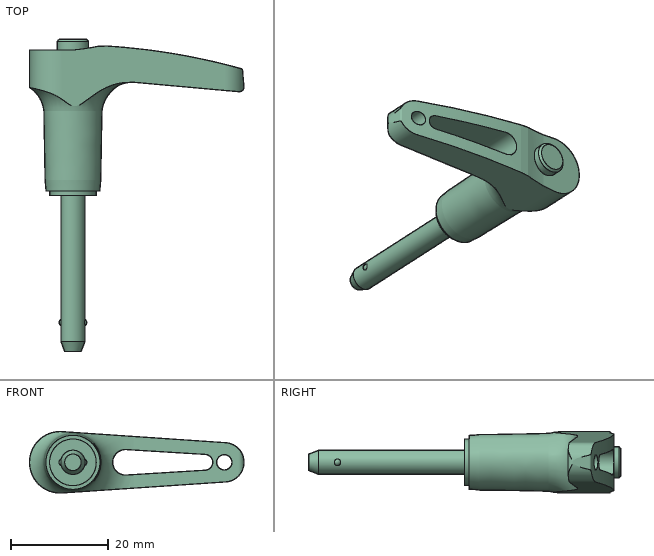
import cadquery as cq
import math


shank_radius = 2.5
shank_tip_y = -32.06
tip_cone_start_y = -30.0
tip_radius = 1.7
ball_radius = 0.75
ball_reach = 2.86
ball_y = -26.1

collar_radius = 4.8
collar_length = 0.95
sleeve_nose_radius = 5.56
sleeve_taper_end_y = 3.2
sleeve_taper_end_radius = 5.75
sleeve_top_y = 17.4
sleeve_top_radius = 6.0

button_radius = 3.25
button_top_y = 32.2
button_chamfer = 0.45

head_radius = 6.345
head_center_x = -2.6
grip_end_radius = 4.07
handle_end_x = 35.21
grip_end_center_x = handle_end_x - grip_end_radius
head_end_x = head_center_x - head_radius

head_top_y = 30.0
rise_start_x = 0.4
rise_mid = (3.2, 30.36)
rise_end = (5.2, 30.75)
back_start = (7.0, 30.8)
back_mid = (19.7, 29.4)
back_end = (34.9, 26.05)
grip_bottom_end = (35.3, 21.25)
underside_y = 23.3
grip_top_corner_radius = 0.4
grip_bottom_corner_radius = 1.0

flare_rim_radius = 12.5
flare_width = flare_rim_radius - sleeve_top_radius
flare_height = underside_y - sleeve_top_y
flare_arc_radius = (flare_width**2 + flare_height**2) / (2 * flare_height)
flare_arc_angle = math.acos(1 - flare_height / flare_arc_radius)

slot_wide_radius = 2.6
slot_wide_center_x = 10.8
slot_narrow_radius = 1.6
slot_narrow_center_x = 27.15
lanyard_hole_radius = 1.55


def tapered_prism(center_a, radius_a, center_b, radius_b):
    """Prism along Y whose XZ outline is two circles joined by their outer tangents."""
    tilt = math.asin((radius_a - radius_b) / (center_b - center_a))
    along = math.sin(tilt)
    across = math.cos(tilt)
    ax = center_a + radius_a * along
    az = radius_a * across
    bx = center_b + radius_b * along
    bz = radius_b * across
    return (
        cq.Workplane("XZ", origin=(0, button_top_y, 0))
        .moveTo(ax, az)
        .lineTo(bx, bz)
        .threePointArc((center_b + radius_b, 0), (bx, -bz))
        .lineTo(ax, -az)
        .threePointArc((center_a - radius_a, 0), (ax, az))
        .close()
        .extrude(button_top_y)
    )


def revolve_about_pin(profile):
    """Close an XY half-profile and turn it fully around the Y axis."""
    return profile.close().revolve(axisStart=(0, 0, 0), axisEnd=(0, 1, 0))


def make_pin():
    """Shank with its tapered tip, collar and tapered sleeve, up to the foot of the flare."""
    profile = (
        cq.Workplane("XY")
        .moveTo(0, shank_tip_y)
        .lineTo(tip_radius, shank_tip_y)
        .lineTo(shank_radius, tip_cone_start_y)
        .lineTo(shank_radius, 0)
        .lineTo(collar_radius, 0)
        .lineTo(collar_radius, collar_length)
        .lineTo(sleeve_nose_radius, collar_length)
        .lineTo(sleeve_taper_end_radius, sleeve_taper_end_y)
        .lineTo(sleeve_top_radius, sleeve_top_y)
        .lineTo(0, sleeve_top_y)
    )
    return revolve_about_pin(profile)


def make_flare():
    """Trumpet-shaped blend from the top of the sleeve, ending tangent to the underside of the handle."""
    arc_mid = (
        flare_rim_radius - flare_arc_radius * math.sin(flare_arc_angle / 2),
        underside_y - flare_arc_radius * (1 - math.cos(flare_arc_angle / 2)),
    )
    profile = (
        cq.Workplane("XY")
        .moveTo(0, sleeve_top_y)
        .lineTo(sleeve_top_radius, sleeve_top_y)
        .threePointArc(arc_mid, (flare_rim_radius, underside_y))
        .lineTo(0, underside_y)
    )
    return revolve_about_pin(profile)


def round_edge_at(body, corner, radius):
    """Fillet the edge of the body that runs along Z through an XY corner."""
    edge = cq.selectors.NearestToPointSelector((*corner, 0))
    return body.edges(edge).fillet(radius)


def make_handle():
    """Side profile extruded across Z and joined to the flare, trimmed to the plan shape and pierced."""
    side = (
        cq.Workplane("XY")
        .moveTo(head_end_x, head_top_y)
        .lineTo(rise_start_x, head_top_y)
        .threePointArc(rise_mid, rise_end)
        .lineTo(*back_start)
        .threePointArc(back_mid, back_end)
        .lineTo(*grip_bottom_end)
        .lineTo(flare_rim_radius, underside_y)
        .lineTo(head_end_x, underside_y)
        .close()
        .extrude(head_radius, both=True)
    )
    side = round_edge_at(side, back_end, grip_top_corner_radius)
    side = round_edge_at(side, grip_bottom_end, grip_bottom_corner_radius)
    plan = tapered_prism(head_center_x, head_radius, grip_end_center_x, grip_end_radius)
    slot = tapered_prism(slot_wide_center_x, slot_wide_radius, slot_narrow_center_x, slot_narrow_radius)
    lanyard_hole = (
        cq.Workplane("XZ", origin=(grip_end_center_x, button_top_y, 0))
        .circle(lanyard_hole_radius)
        .extrude(button_top_y)
    )
    return side.union(make_flare()).intersect(plan).cut(slot).cut(lanyard_hole)


def make_button():
    """Button standing on the sleeve and passing up through the handle head."""
    return (
        cq.Workplane("XZ", origin=(0, button_top_y, 0))
        .circle(button_radius)
        .extrude(button_top_y - sleeve_top_y)
        .faces(">Y")
        .chamfer(button_chamfer)
    )


def make_ball(side):
    """Locking ball on the +X (side = 1) or -X (side = -1) side of the shank."""
    ball_x = side * (ball_reach - ball_radius)
    return cq.Workplane("XY").sphere(ball_radius).translate((ball_x, ball_y, 0))


result = make_pin().union(make_handle()).union(make_button()).union(make_ball(-1)).union(make_ball(1))